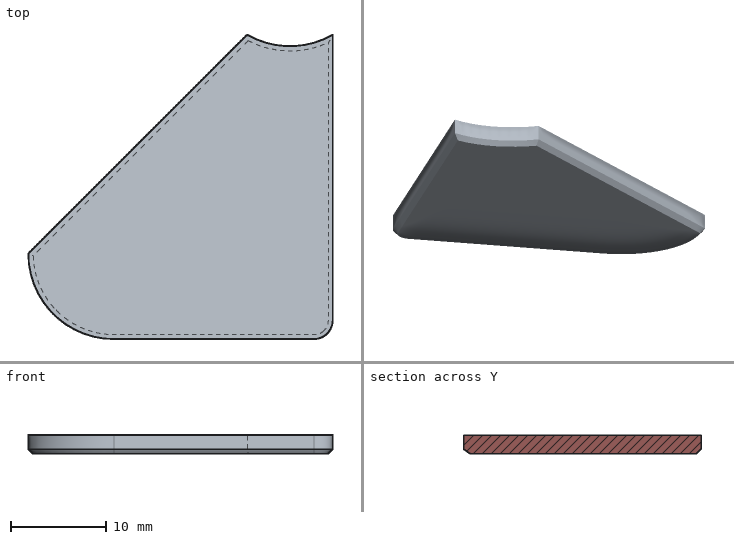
import cadquery as cq
import math

side = 32.0
thickness = 2.0
big_radius = 9.0
notch_radius = 9.0
notch_width = 9.0
corner_radius = 2.0
bottom_chamfer = 0.5

notch_start = side - notch_width
notch_middle = side - notch_width / 2
notch_depth = notch_radius - math.sqrt(notch_radius**2 - (notch_width / 2) ** 2)
arc_inset_big = big_radius * (1 - math.sqrt(0.5))
arc_inset_corner = corner_radius * (1 - math.sqrt(0.5))


def make_plate():
    """Flat plate: right-angle corner, diagonal edge, one round and one scooped end."""
    return (
        cq.Workplane("XY")
        .moveTo(big_radius, 0)
        .lineTo(side - corner_radius, 0)
        .threePointArc((side - arc_inset_corner, arc_inset_corner), (side, corner_radius))
        .lineTo(side, side)
        .threePointArc((notch_middle, side - notch_depth), (notch_start, side))
        .lineTo(0, big_radius)
        .threePointArc((arc_inset_big, arc_inset_big), (big_radius, 0))
        .close()
        .extrude(thickness)
    )


def chamfer_underside(plate):
    """Bevel the whole rim of the bottom face."""
    return plate.faces("<Z").edges().chamfer(bottom_chamfer)


result = chamfer_underside(make_plate())